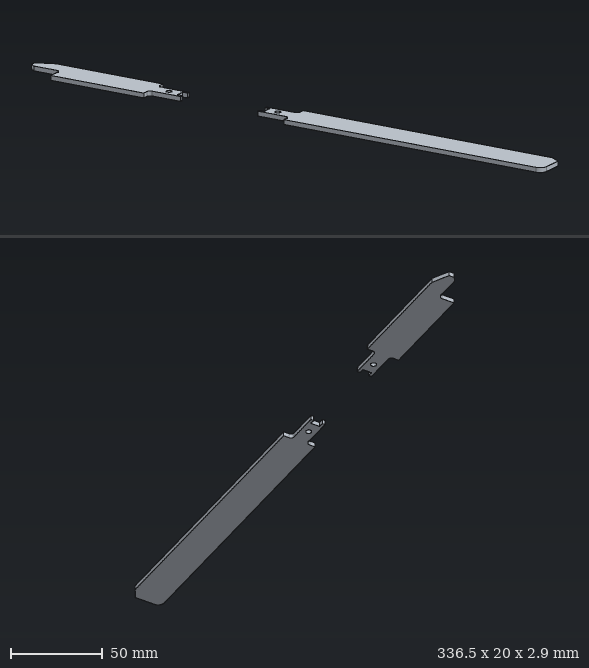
import cadquery as cq

overall_length = 336.5
blade_width = 20.0
thickness = 2.9
half_width = blade_width / 2

tang_length = 20.2
tang_width = 9.0
tang_fillet = 2.0
notch_depth = 3.0
notch_width = 5.5
hole_diameter = 3.23
hole_from_end = 10.0

short_length = 100.0
tip_length = 20.0
tip_bottom_y = -0.5
tip_slope_length = 10.0
tip_slope_drop = 5.0
tip_chamfer_length = 3.0
tip_chamfer_height = 2.0
tip_fillet = 2.0

long_start = 149.7
end_slope_length = 6.0
end_slope_drop = 3.7
end_corner_radius = 4.0


def make_tang(end_x, direction):
    """Tang from its free end; direction (+1 or -1) points along X toward the blade."""
    center_x = end_x + direction * tang_length / 2
    tang = cq.Workplane("XY").center(center_x, 0).rect(tang_length, tang_width).extrude(thickness)
    notch = (
        cq.Workplane("XY")
        .center(end_x, 0)
        .rect(2 * notch_depth, notch_width)
        .extrude(thickness)
    )
    hole = (
        cq.Workplane("XY")
        .center(end_x + direction * hole_from_end, 0)
        .circle(hole_diameter / 2)
        .extrude(thickness)
    )
    return tang.cut(notch).cut(hole)


def fillet_upright_edges(body, x, y_values, radius):
    """Round the vertical edges at the given X and Y positions."""
    for y in y_values:
        edge = cq.selectors.NearestToPointSelector((x, y, thickness / 2))
        body = body.edges("|Z").edges(edge).fillet(radius)
    return body


def add_tang(blade, end_x, direction):
    """Join a tang to a blade and round the corners between them."""
    shoulder_x = end_x + direction * tang_length
    body = blade.union(make_tang(end_x, direction))
    return fillet_upright_edges(body, shoulder_x, (-tang_width / 2, tang_width / 2), tang_fillet)


def make_short_blade():
    """Short blade with a narrow pointed tip."""
    blade = (
        cq.Workplane("XY")
        .moveTo(tip_slope_length, half_width)
        .lineTo(short_length - tang_length, half_width)
        .lineTo(short_length - tang_length, -half_width)
        .lineTo(tip_length, -half_width)
        .lineTo(tip_length, tip_bottom_y)
        .lineTo(tip_chamfer_length, tip_bottom_y)
        .lineTo(0, tip_bottom_y + tip_chamfer_height)
        .lineTo(0, half_width - tip_slope_drop)
        .close()
        .extrude(thickness)
    )
    blade = fillet_upright_edges(blade, tip_length, (tip_bottom_y,), tip_fillet)
    return add_tang(blade, short_length, -1)


def make_long_blade():
    """Long straight blade with a sloped corner and a rounded corner at its end."""
    blade = (
        cq.Workplane("XY")
        .moveTo(long_start + tang_length, -half_width)
        .lineTo(overall_length, -half_width)
        .lineTo(overall_length, half_width - end_slope_drop)
        .lineTo(overall_length - end_slope_length, half_width)
        .lineTo(long_start + tang_length, half_width)
        .close()
        .extrude(thickness)
    )
    blade = fillet_upright_edges(blade, overall_length, (-half_width,), end_corner_radius)
    return add_tang(blade, long_start, 1)


short_blade = make_short_blade()
long_blade = make_long_blade()

result = cq.Compound.makeCompound([short_blade.val(), long_blade.val()])